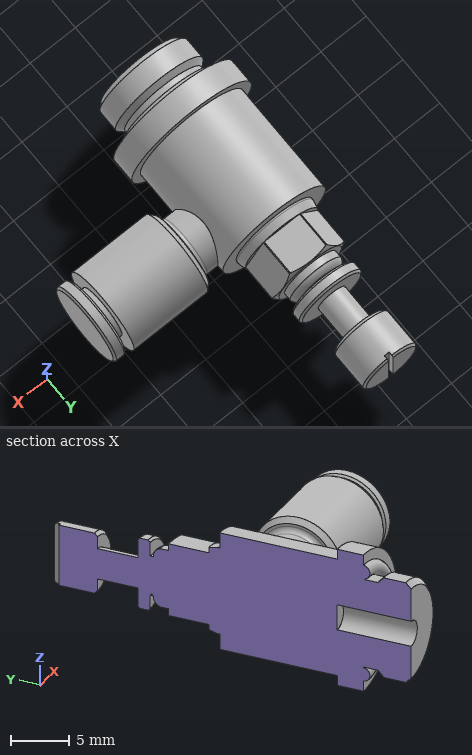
import cadquery as cq
import math


THREAD_R = 4.88
THREAD_ROOT_R = 4.3
THREAD_CHAMFER = 0.5
THREAD_END = 2.63
THREAD_TAPER_END = 3.17
BORE_R = 1.2
BORE_DEPTH = 7.02

FLANGE_R = 6.65
FLANGE_START = 4.55
FLANGE_END = 7.02
RING_TUBE_R = 0.68
RING_START = 3.92
BODY_R = 5.7
BODY_END = 18.25

COLLAR_R = 4.23
COLLAR_RIM_END = 18.4
COLLAR_TOP_R = 4.02
NUT_START = 19.25
NUT_END = 23.15
NUT_ACROSS_FLATS = 7.02
NUT_CORNER_R = COLLAR_TOP_R
NUT_TOP_R = 3.48
NUT_CHAMFER_HEIGHT = 0.3

TIP_R = 2.85
TIP_SHOULDER = 23.9
TIP_TOP_R = 2.2
TIP_END = 24.55
TIP_CROWN = 0.1

NECK_R = 1.95
WASHER_R = 3.45
WASHER_START = 24.82
WASHER_END = 26.05
WASHER_CHAMFER = 0.2
STEM_R = 1.5

KNOB_R = 5.9 / 2
KNOB_START = 29.85
KNOB_END = 34.1
KNOB_LOWER_CHAMFER = 0.3
KNOB_UPPER_CHAMFER = 0.2
SLOT_WIDTH = 0.5
SLOT_DEPTH = 0.55

PORT_Y = 14.55
PORT_NECK_R = 3.05
PORT_FILLET_R = 0.48
PORT_START = 7.35
PORT_R = 4.25
PORT_CHAMFER = 0.48
PORT_END = 16.03
RELEASE_STEM_R = 2.63
RELEASE_R = 4.05
RELEASE_START = 16.75
RELEASE_END = 18.0
RELEASE_CHAMFER = 0.2


def cylinder(radius, start, end):
    """Cylinder on the main axis between two Y positions."""
    return cq.Workplane("XZ", origin=(0, start, 0)).circle(radius).extrude(start - end)


def turned(profile):
    """Revolve a closed (radius, Y) profile about the main axis."""
    return profile.close().revolve(360, (0, 0, 0), (0, 1, 0))


def threaded_end():
    profile = (
        cq.Workplane("XY")
        .lineTo(THREAD_R - THREAD_CHAMFER, 0)
        .lineTo(THREAD_R, THREAD_CHAMFER)
        .lineTo(THREAD_R, THREAD_END)
        .lineTo(THREAD_ROOT_R, THREAD_TAPER_END)
        .lineTo(THREAD_ROOT_R, FLANGE_START)
        .lineTo(0, FLANGE_START)
    )
    return turned(profile)


def sealing_ring():
    centre_r = THREAD_ROOT_R + RING_TUBE_R
    centre_y = RING_START + RING_TUBE_R
    return (
        cq.Workplane("XY")
        .center(centre_r, centre_y)
        .circle(RING_TUBE_R)
        .revolve(360, (-centre_r, 0, 0), (-centre_r, 1, 0))
    )


def collar():
    profile = (
        cq.Workplane("XY")
        .moveTo(0, BODY_END)
        .lineTo(COLLAR_R, BODY_END)
        .lineTo(COLLAR_R, COLLAR_RIM_END)
        .lineTo(COLLAR_TOP_R, NUT_START)
        .lineTo(0, NUT_START)
    )
    return turned(profile)


def nut():
    sharp_corner_r = NUT_ACROSS_FLATS / 2 / math.cos(math.radians(30))
    hexagon = (
        cq.Workplane("XZ", origin=(0, NUT_START, 0))
        .polygon(6, 2 * sharp_corner_r)
        .extrude(NUT_START - NUT_END)
    )
    turned_blank = (
        cq.Workplane("XY")
        .moveTo(0, NUT_START)
        .lineTo(NUT_CORNER_R, NUT_START)
        .lineTo(NUT_CORNER_R, NUT_END - NUT_CHAMFER_HEIGHT)
        .lineTo(NUT_TOP_R, NUT_END)
        .lineTo(0, NUT_END)
    )
    return hexagon.intersect(turned(turned_blank))


def nut_tip():
    profile = (
        cq.Workplane("XY")
        .moveTo(0, NUT_END)
        .lineTo(TIP_R, NUT_END)
        .lineTo(TIP_R, TIP_SHOULDER)
        .sagittaArc((TIP_TOP_R, TIP_END), -TIP_CROWN)
        .lineTo(0, TIP_END)
    )
    return turned(profile)


def washer():
    return cylinder(WASHER_R, WASHER_START, WASHER_END).edges().chamfer(WASHER_CHAMFER)


def knob():
    blank = (
        cylinder(KNOB_R, KNOB_START, KNOB_END)
        .faces("<Y").edges().chamfer(KNOB_LOWER_CHAMFER)
        .faces(">Y").edges().chamfer(KNOB_UPPER_CHAMFER)
    )
    slot = cq.Workplane("XY").box(SLOT_WIDTH, 2 * SLOT_DEPTH, 2 * KNOB_R)
    return blank.cut(slot.translate((0, KNOB_END, 0)))


def side_port():
    """Neck, port sleeve and release ring turned about the port axis."""
    profile = (
        cq.Workplane("XY", origin=(0, PORT_Y, 0))
        .lineTo(0, PORT_NECK_R)
        .lineTo(PORT_START - PORT_FILLET_R, PORT_NECK_R)
        .tangentArcPoint((PORT_START, PORT_NECK_R + PORT_FILLET_R), relative=False)
        .lineTo(PORT_START, PORT_R - PORT_CHAMFER)
        .lineTo(PORT_START + PORT_CHAMFER, PORT_R)
        .lineTo(PORT_END, PORT_R)
        .lineTo(PORT_END, RELEASE_STEM_R)
        .lineTo(RELEASE_START, RELEASE_STEM_R)
        .lineTo(RELEASE_START, RELEASE_R - RELEASE_CHAMFER)
        .lineTo(RELEASE_START + RELEASE_CHAMFER, RELEASE_R)
        .lineTo(RELEASE_END - RELEASE_CHAMFER, RELEASE_R)
        .lineTo(RELEASE_END, RELEASE_R - RELEASE_CHAMFER)
        .lineTo(RELEASE_END, 0)
        .close()
    )
    return profile.revolve(360, (0, 0, 0), (1, 0, 0))


solids = [
    sealing_ring(),
    cylinder(FLANGE_R, FLANGE_START, FLANGE_END),
    cylinder(BODY_R, FLANGE_END, BODY_END),
    side_port(),
    collar(),
    nut(),
    nut_tip(),
    cylinder(NECK_R, TIP_END, WASHER_START),
    washer(),
    cylinder(STEM_R, WASHER_END, KNOB_START),
    knob(),
]

result = threaded_end()
for solid in solids:
    result = result.union(solid)

result = result.cut(cylinder(BORE_R, 0, BORE_DEPTH))